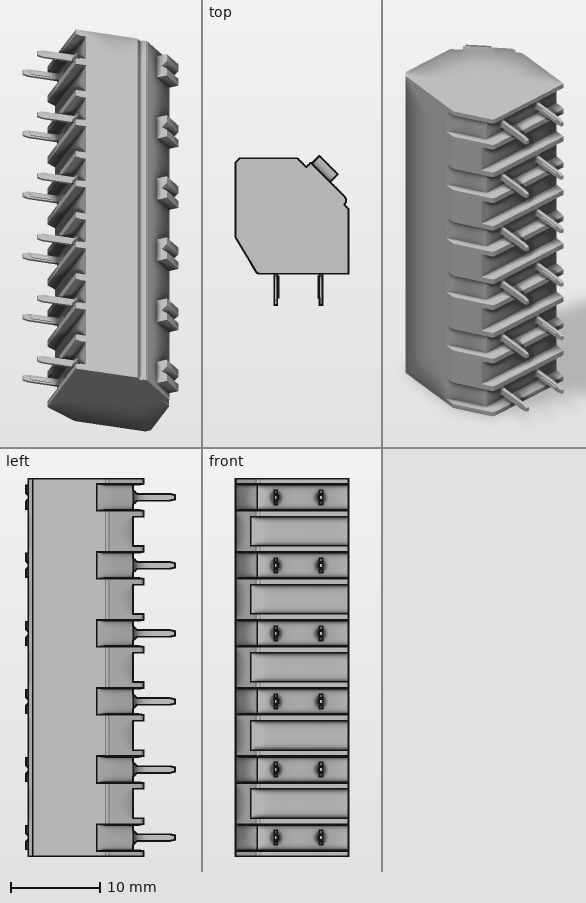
import cadquery as cq
import math

POLE_COUNT = 6
POLE_PITCH = 7.62
BODY_LENGTH = 42.3
POLE_CENTERS = [(i - (POLE_COUNT - 1) / 2) * POLE_PITCH for i in range(POLE_COUNT)]
GAP_CENTERS = [z + POLE_PITCH / 2 for z in POLE_CENTERS[:-1]]

BODY_WIDTH = 12.7
BODY_DEPTH = 12.95
TOP_CHAMFER = 0.5
FACE_SUM = 20.9
LEDGE_X = 6.95
VALLEY_DEPTH = 1.0
FACE_TOP = 12.45
FACE_BOTTOM = 8.65
LIP_X = 12.42
LIP_TOP = 8.4
LIP_BOTTOM = 8.05
NICK_X = 12.2
NICK_Y = 7.75
SKEW_ANGLE = math.radians(59)
SKEW_RISE = 4.1
SKEW_RUN = SKEW_RISE / math.tan(SKEW_ANGLE)
UPPER_SKEW_RADIUS = 0.8
LOWER_SKEW_RADIUS = 0.5

STANDOFF = 1.22
RECESS_RISE = 5.3
RECESS_FLOOR_WIDTH = 2.8
RECESS_RIM_WIDTH = 3.03
RECESS_SIDE_DEPTH = (RECESS_RISE - SKEW_RISE) * math.cos(SKEW_ANGLE)

GAP_WIDTH = 3.26

PIN_LENGTH = 3.5
PIN_THICKNESS = 0.36
PIN_WIDTH = 0.78
PIN_SPACING = 5.08
FIRST_PIN_X = 4.52
PIN_ROOT_WIDTH = 1.62
PIN_ROOT_LENGTH = 0.45
PIN_TIP_WIDTH = 0.5
PIN_TIP_LENGTH = 0.6
PIN_EMBED = 0.5
RIDGE_HEIGHT = 0.14
RIDGE_WIDTH = 0.45
RIDGE_START = 0.26
RIDGE_LENGTH = 2.4

BUTTON_SIZE = 2.93
BUTTON_WIDTH = 2.66
BUTTON_HEIGHT = 1.22
BUTTON_TIP_Y = BODY_DEPTH + 0.27
BUTTON_EMBED = 0.3
GROOVE_WIDTH = 0.95
GROOVE_DEPTH = 0.65

CLEARANCE = 1.0


def prism(points, width, center_z):
    """Extrude an XY outline symmetrically about the plane Z = center_z."""
    sketch = cq.Workplane("XY", origin=(0, 0, center_z)).polyline(points).close()
    return sketch.extrude(width / 2, both=True)


def make_housing():
    valley_x = LEDGE_X + VALLEY_DEPTH
    outline = [
        (SKEW_RUN, 0),
        (BODY_WIDTH, 0),
        (BODY_WIDTH, NICK_Y - (BODY_WIDTH - NICK_X)),
        (NICK_X, NICK_Y),
        (LIP_X, LIP_BOTTOM),
        (LIP_X, LIP_TOP),
        (FACE_SUM - FACE_BOTTOM, FACE_BOTTOM),
        (FACE_SUM - FACE_TOP, FACE_TOP),
        (valley_x, BODY_DEPTH - VALLEY_DEPTH),
        (LEDGE_X, BODY_DEPTH),
        (TOP_CHAMFER, BODY_DEPTH),
        (0, BODY_DEPTH - TOP_CHAMFER),
        (0, SKEW_RISE),
    ]
    housing = prism(outline, BODY_LENGTH, 0)
    upper_edge = cq.selectors.NearestToPointSelector((0, SKEW_RISE, 0))
    housing = housing.edges(upper_edge).fillet(UPPER_SKEW_RADIUS)
    lower_edge = cq.selectors.NearestToPointSelector((SKEW_RUN, 0, 0))
    return housing.edges(lower_edge).fillet(LOWER_SKEW_RADIUS)


def make_rim_flare(start, direction, length, center_z):
    """Wedge that widens a recess from its floor width to its rim width.

    It runs from start along direction, with the recess interior on the
    right-hand side of that direction.
    """
    inward = (direction[1], -direction[0], 0)
    plane = cq.Plane(
        origin=(start[0], start[1], center_z),
        xDir=inward,
        normal=(direction[0], direction[1], 0),
    )
    section = [
        (0, -RECESS_RIM_WIDTH / 2),
        (RECESS_SIDE_DEPTH, -RECESS_FLOOR_WIDTH / 2),
        (RECESS_SIDE_DEPTH, RECESS_FLOOR_WIDTH / 2),
        (0, RECESS_RIM_WIDTH / 2),
    ]
    return cq.Workplane(plane).polyline(section).close().extrude(length)


def make_pole_recess(center_z):
    """Recess open to the X = 0, skewed and mounting faces, with a flared rim."""
    floor_corner_x = (RECESS_RISE - STANDOFF) / math.tan(SKEW_ANGLE)
    far_x = BODY_WIDTH + CLEARANCE
    outline = [
        (0, RECESS_RISE),
        (floor_corner_x, STANDOFF),
        (far_x, STANDOFF),
        (far_x, 0),
        (SKEW_RUN, 0),
        (0, SKEW_RISE),
    ]
    skew_direction = (-math.cos(SKEW_ANGLE), math.sin(SKEW_ANGLE))
    skew_length = math.hypot(SKEW_RUN, SKEW_RISE)
    flares = make_rim_flare((far_x, 0), (-1, 0), far_x - SKEW_RUN, center_z)
    flares = flares.union(make_rim_flare((SKEW_RUN, 0), skew_direction, skew_length, center_z))
    flares = flares.union(make_rim_flare((0, SKEW_RISE), (0, 1), RECESS_RISE - SKEW_RISE, center_z))
    rim = prism(outline, RECESS_RIM_WIDTH, center_z).intersect(flares)
    return prism(outline, RECESS_FLOOR_WIDTH, center_z).union(rim)


def make_gap_recess(center_z):
    """Slot across the mounting face between two poles."""
    far_x = BODY_WIDTH + CLEARANCE
    outline = [(-CLEARANCE, STANDOFF), (far_x, STANDOFF), (far_x, -CLEARANCE), (-CLEARANCE, -CLEARANCE)]
    return prism(outline, GAP_WIDTH, center_z)


def make_pin(center_x, center_z, ridge_side):
    """Flat pin with a flared root, tapered tip and a ridge on one broad side."""
    root_end = STANDOFF - PIN_ROOT_LENGTH
    taper_start = PIN_TIP_LENGTH - PIN_LENGTH
    half_outline = [
        (STANDOFF + PIN_EMBED, PIN_ROOT_WIDTH / 2),
        (STANDOFF, PIN_ROOT_WIDTH / 2),
        (root_end, PIN_WIDTH / 2),
        (taper_start, PIN_WIDTH / 2),
        (-PIN_LENGTH, PIN_TIP_WIDTH / 2),
    ]
    outline = half_outline + [(y, -z) for y, z in reversed(half_outline)]
    plane = cq.Workplane("YZ", origin=(center_x, 0, center_z))
    blade = plane.polyline(outline).close().extrude(PIN_THICKNESS / 2, both=True)

    ridge_reach = PIN_THICKNESS / 2 + RIDGE_HEIGHT
    ridge = (
        cq.Workplane("YZ", origin=(center_x, 0, center_z))
        .center(-RIDGE_START - RIDGE_LENGTH / 2, 0)
        .rect(RIDGE_LENGTH, RIDGE_WIDTH)
        .extrude(ridge_side * ridge_reach)
    )
    return blade.union(ridge)


def make_button(center_z):
    """Block standing on the 45 degree face, with a V groove down the slope."""
    base_y = BUTTON_TIP_Y - BUTTON_HEIGHT / math.sqrt(2)
    upper_end = cq.Plane(
        origin=(FACE_SUM - base_y, base_y, center_z),
        xDir=(0, 0, -1),
        normal=(1, -1, 0),
    )
    profile = [
        (-BUTTON_WIDTH / 2, -BUTTON_EMBED),
        (BUTTON_WIDTH / 2, -BUTTON_EMBED),
        (BUTTON_WIDTH / 2, BUTTON_HEIGHT),
        (GROOVE_WIDTH / 2, BUTTON_HEIGHT),
        (0, BUTTON_HEIGHT - GROOVE_DEPTH),
        (-GROOVE_WIDTH / 2, BUTTON_HEIGHT),
        (-BUTTON_WIDTH / 2, BUTTON_HEIGHT),
    ]
    return cq.Workplane(upper_end).polyline(profile).close().extrude(BUTTON_SIZE)


result = make_housing()
for gap_z in GAP_CENTERS:
    result = result.cut(make_gap_recess(gap_z))
for pole_z in POLE_CENTERS:
    result = result.cut(make_pole_recess(pole_z))
    result = result.union(make_button(pole_z))
    result = result.union(make_pin(FIRST_PIN_X, pole_z, ridge_side=1))
    result = result.union(make_pin(FIRST_PIN_X + PIN_SPACING, pole_z, ridge_side=-1))